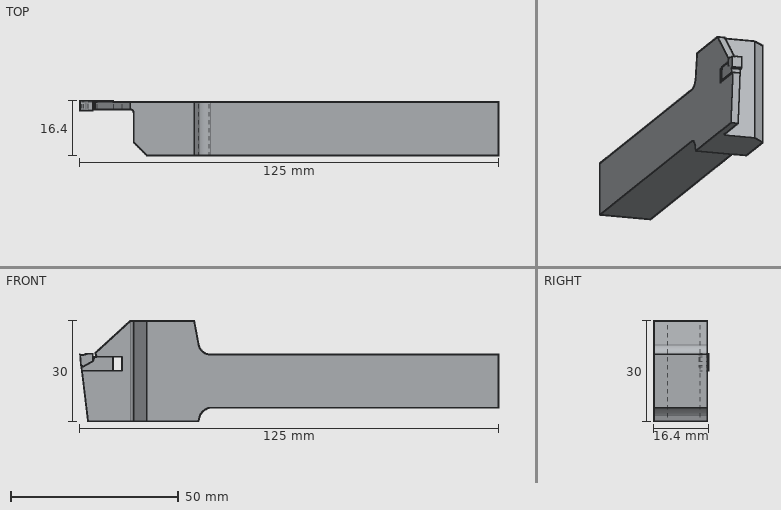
import cadquery as cq

total_length = 125.0
head_height = 30.0
holder_width = 16.0
shank_bottom = 4.0
shank_top = 20.0

blade_foot_x = 2.4
flank_top_x = 0.4
flank_top_z = 16.5
head_top_start_x = 15.0
head_top_end_x = 34.1
neck_corner_x = 36.0
neck_radius = 3.5
heel_x = 35.4
heel_top_x = 35.9
heel_top_z = 1.9
scoop_mid_x = 36.8
scoop_mid_z = 3.0
scoop_end_x = 38.5
jaw_nose_x = 4.5
jaw_nose_z = 20.4
jaw_lip_x = 5.0

blade_thickness = 2.2
head_front_x = 16.0
blade_fillet = 1.0
head_chamfer = 4.0

seat_bottom = 15.1
seat_top = 19.2
seat_end_x = 12.5

strip_end_x = 9.9
strip_top_start_x = 4.2
insert_overhang = 0.4
tip_heel_x = 0.2
tip_heel_z = 16.8
tip_foot_x = 1.0
tip_foot_z = 16.4
tip_back_x = 3.9
tip_back_z = 18.0
edge_z = 20.0
chip_groove_depth = 0.1
chip_groove_end_x = 1.8
chip_groove_end_z = 20.1
tip_top_start_x = 2.2
tip_top_z = 20.2


def flank_x(z):
    """X of the inclined front edge of the blade at height z."""
    return blade_foot_x + (flank_top_x - blade_foot_x) * z / flank_top_z


def extrude_profile(profile, front_y, back_y):
    """Extrude a closed XZ profile from back_y toward -Y as far as front_y."""
    return profile.extrude(back_y - front_y).translate((0, back_y, 0))


def make_side_body():
    """Head, blade and shank outline at full width, with the insert seat open at the front."""
    profile = (
        cq.Workplane("XZ")
        .moveTo(blade_foot_x, 0)
        .lineTo(heel_x, 0)
        .lineTo(heel_top_x, heel_top_z)
        .threePointArc((scoop_mid_x, scoop_mid_z), (scoop_end_x, shank_bottom))
        .lineTo(total_length, shank_bottom)
        .lineTo(total_length, shank_top)
        .lineTo(neck_corner_x, shank_top)
        .lineTo(head_top_end_x, head_height)
        .lineTo(head_top_start_x, head_height)
        .lineTo(jaw_nose_x, jaw_nose_z)
        .lineTo(jaw_lip_x, seat_top)
        .lineTo(seat_end_x, seat_top)
        .lineTo(seat_end_x, seat_bottom)
        .lineTo(flank_x(seat_bottom), seat_bottom)
        .close()
    )
    body = extrude_profile(profile, -holder_width, 0)
    neck_edge = cq.selectors.NearestToPointSelector((neck_corner_x, -holder_width / 2, shank_top))
    return body.edges(neck_edge).fillet(neck_radius)


def make_plan_prism():
    """Plan outline of the holder: thin blade, filleted root and chamfered head corner."""
    return (
        cq.Workplane("XY")
        .lineTo(total_length, 0)
        .lineTo(total_length, -holder_width)
        .lineTo(head_front_x + head_chamfer, -holder_width)
        .lineTo(head_front_x, head_chamfer - holder_width)
        .lineTo(head_front_x, -blade_thickness - blade_fillet)
        .radiusArc((head_front_x - blade_fillet, -blade_thickness), -blade_fillet)
        .lineTo(0, -blade_thickness)
        .close()
        .extrude(head_height)
    )


def make_holder():
    return make_side_body().intersect(make_plan_prism())


def make_carrier_strip():
    """Strip lying in the seat, flush with the blade front and proud of its back."""
    profile = (
        cq.Workplane("XZ")
        .moveTo(flank_x(seat_bottom), seat_bottom)
        .lineTo(strip_end_x, seat_bottom)
        .lineTo(strip_end_x, seat_top)
        .lineTo(strip_top_start_x, seat_top)
        .lineTo(tip_back_x, tip_back_z)
        .lineTo(tip_foot_x, tip_foot_z)
        .lineTo(flank_x(tip_foot_z), tip_foot_z)
        .close()
    )
    return extrude_profile(profile, -blade_thickness, insert_overhang)


def make_cutting_tip():
    """Cutting tip with a shallow chip groove behind the cutting edge."""
    profile = (
        cq.Workplane("XZ")
        .moveTo(0, edge_z)
        .threePointArc(
            (chip_groove_end_x / 2, edge_z - chip_groove_depth),
            (chip_groove_end_x, chip_groove_end_z),
        )
        .lineTo(tip_top_start_x, tip_top_z)
        .lineTo(tip_back_x, tip_top_z)
        .lineTo(tip_back_x, tip_back_z)
        .lineTo(tip_foot_x, tip_foot_z)
        .lineTo(tip_heel_x, tip_heel_z)
        .close()
    )
    return extrude_profile(profile, -blade_thickness - insert_overhang, insert_overhang)


def make_insert():
    return make_carrier_strip().union(make_cutting_tip())


holder = make_holder()
insert = make_insert()

result = cq.Compound.makeCompound([holder.solids().val(), insert.solids().val()])